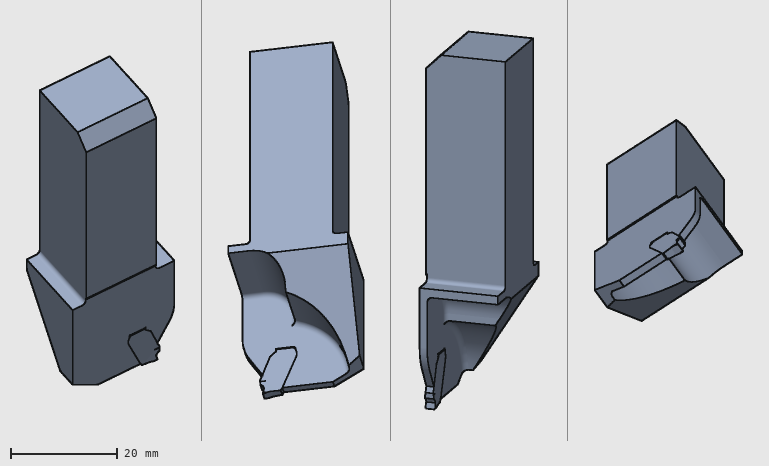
import cadquery as cq
import math

total_height = 69.85
shank_width = 15.85
shank_front_y = 2.9
shank_back_y = shank_front_y + shank_width
top_chamfer = 2.9

head_depth = 23.0
shoulder_z = 24.95
shoulder_fillet = 0.85
side_relief = 0.2
relief_top_z = 26.3
head_bottom_z = 1.0
blade_right_x = shank_width - side_relief
front_corner_z = 4.3
front_corner_y = 5.65
back_corner_z = 10.75
back_slope_angle = 31.4
back_corner_radius = 8.4

slope_top_z = 22.2
slope_low_x = 12.15
slope_low_z = 3.15

blade_thickness = 1.55
blade_left_x = blade_right_x - blade_thickness
pocket_top_z = 23.25
pocket_side_y = 12.7
pocket_corner_radius = 6.15
pocket_disc_y = 17.8
pocket_disc_z = 0.9
pocket_disc_radius = 15.65
pocket_floor_fillet = 1.05

insert_end_z = 10.05
insert_end_back = (16.55, insert_end_z)
insert_end_front = (13.05, insert_end_z)
heel_middle = (12.65, 9.15)
heel_end = (12.65, 7.95)
clearance_points = [(15.3, 1.05), (15.65, 0.4), (17.45, 0.35)]
cutting_edge = (19.1, 0.0)
rake_start = (18.8, 1.25)
rake_middle = (19.1, 1.8)
rake_end = (19.55, 2.25)
back_points = [(19.6, 3.35), (19.15, 4.55), (17.7, 8.6), (16.55, 9.65)]
seat_clearance = 0.2
tip_flare_y, tip_flare_z = 18.6, 3.0
tip_flare_length = 1.9
tip_corner_chamfer = 0.2

overshoot = 14.0


def prism(outline, x_start, x_end):
    """Extrude a (Y, Z) outline along X."""
    return cq.Workplane("YZ", origin=(x_start, 0, 0)).polyline(outline).close().extrude(x_end - x_start)


def insert_prism(x_start, x_end):
    """Extrude the insert outline along X."""
    sketch = cq.Workplane("YZ", origin=(x_start, 0, 0)).moveTo(*insert_end_back).lineTo(*insert_end_front)
    sketch = sketch.threePointArc(heel_middle, heel_end)
    for point in clearance_points:
        sketch = sketch.lineTo(*point)
    sketch = sketch.lineTo(*cutting_edge).lineTo(*rake_start).threePointArc(rake_middle, rake_end)
    for point in back_points:
        sketch = sketch.lineTo(*point)
    return sketch.close().extrude(x_end - x_start)


def make_shank():
    shank = cq.Workplane("XY").box(
        shank_width, shank_width, total_height - shoulder_z, centered=False
    ).translate((0, shank_front_y, shoulder_z))
    return shank.edges(">X and >Z").chamfer(top_chamfer)


def make_head():
    slope_run = (back_corner_z - head_bottom_z) * math.tan(math.radians(back_slope_angle))
    outline = [
        (0, shoulder_z),
        (0, front_corner_z),
        (front_corner_y, head_bottom_z),
        (head_depth - slope_run, head_bottom_z),
        (head_depth, back_corner_z),
        (head_depth, shoulder_z),
    ]
    head = prism(outline, 0, shank_width)
    corner = cq.selectors.NearestToPointSelector((shank_width / 2, head_depth, back_corner_z))
    return head.edges(corner).fillet(back_corner_radius)


def shoulder_edges(body):
    """The two inside corners between the shank and the head."""
    middle_x = shank_width / 2
    front = cq.selectors.NearestToPointSelector((middle_x, shank_front_y, shoulder_z))
    back = cq.selectors.NearestToPointSelector((middle_x, shank_back_y, shoulder_z))
    return body.edges("|X").edges(front + back)


def make_slope_cut():
    gradient = (slope_low_z - slope_top_z) / slope_low_x
    low_z = slope_top_z + gradient * shank_width
    outline = [(0, slope_top_z), (shank_width, low_z), (shank_width, -overshoot), (0, -overshoot)]
    return cq.Workplane("XZ").polyline(outline).close().extrude(-head_depth)


def make_pocket():
    length = blade_left_x + overshoot
    plane = cq.Workplane("YZ", origin=(-overshoot, 0, 0))
    back_y = head_depth + overshoot
    upper = (
        plane.moveTo(pocket_side_y, -overshoot)
        .lineTo(pocket_side_y, pocket_top_z - pocket_corner_radius)
        .radiusArc((pocket_side_y + pocket_corner_radius, pocket_top_z), pocket_corner_radius)
        .lineTo(back_y, pocket_top_z)
        .lineTo(back_y, -overshoot)
        .close()
        .extrude(length)
    )
    lower = plane.center(pocket_disc_y, pocket_disc_z).circle(pocket_disc_radius).extrude(length)
    upper = upper.faces(">X").edges().fillet(pocket_floor_fillet)
    lower = lower.faces(">X").edges().fillet(pocket_floor_fillet)
    return upper.union(lower)


def make_relief():
    return cq.Workplane("XY").box(
        side_relief, head_depth, relief_top_z, centered=False
    ).translate((blade_right_x, 0, 0))


def make_insert_seat():
    seat = insert_prism(0, shank_width)
    return seat.union(seat.translate((0, 0, seat_clearance)).intersect(make_rear_end_zone()))


def make_rear_end_zone():
    """Region around the flat rear end of the insert."""
    return cq.Workplane("XY").box(
        shank_width, head_depth, 2 * seat_clearance, centered=False
    ).translate((0, 0, insert_end_z - seat_clearance))


def make_holder():
    body = make_shank().union(make_head())
    body = shoulder_edges(body).fillet(shoulder_fillet)
    return body.cut(make_slope_cut()).cut(make_pocket()).cut(make_relief()).cut(make_insert_seat())


def make_tip():
    """Tip of the insert, widening on both sides away from a 45 degree line."""
    flare = [
        (0, blade_left_x),
        (0, blade_right_x),
        (tip_flare_length, blade_right_x + side_relief),
        (2 * tip_flare_length, blade_right_x + side_relief),
        (2 * tip_flare_length, blade_left_x - side_relief),
        (tip_flare_length, blade_left_x - side_relief),
    ]
    plane = cq.Plane(origin=(0, tip_flare_y, tip_flare_z), xDir=(0, 1, -1), normal=(0, -1, -1))
    wedge = (
        cq.Workplane(plane)
        .polyline(flare)
        .close()
        .extrude(overshoot, both=True)
    )
    top_limit = cq.Workplane("XY").box(
        2 * overshoot, 2 * head_depth, overshoot, centered=(True, True, False)
    ).translate((blade_right_x, 0, tip_flare_z - overshoot))
    outline = insert_prism(blade_left_x - side_relief, blade_right_x + side_relief)
    return outline.intersect(wedge).intersect(top_limit)


def make_insert():
    insert = insert_prism(blade_left_x, blade_right_x).union(make_tip())
    for edge_x, inward in ((blade_left_x - side_relief, 1), (blade_right_x + side_relief, -1)):
        corner = [(edge_x, 0), (edge_x + inward * tip_corner_chamfer, 0), (edge_x, tip_corner_chamfer)]
        insert = insert.cut(cq.Workplane("XZ").polyline(corner).close().extrude(-head_depth))
    return insert


holder = make_holder()
insert = make_insert()
result = cq.Compound.makeCompound([holder.val(), insert.val()])